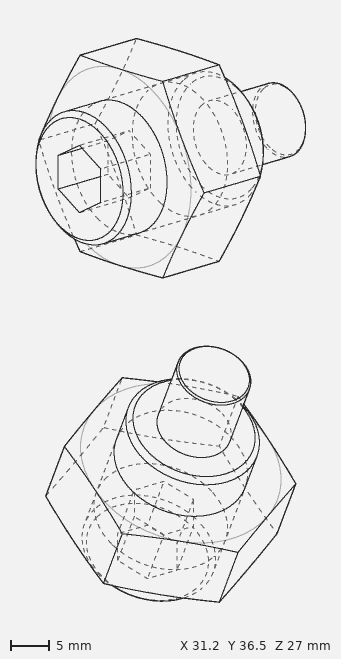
import cadquery as cq
import math

total_length = 36.5
pin_length = 11.02
nut_height = 11.0
body_length = total_length - pin_length
nut_start = (body_length - nut_height) / 2

body_diameter = 18.0
body_chamfer = 0.75
pin_diameter = 10.0
pin_chamfer = 0.25
socket_flats = 8.0
socket_depth = 9.0

nut_flats = 27.0
nut_chamfer_height = 0.35


def corner_diameter(across_flats):
    """Across-corners size of a regular hexagon."""
    return across_flats / math.cos(math.pi / 6)


def plane_at(y):
    """Plane square to the screw axis, facing +Y, with its local x along Z."""
    return cq.Workplane(cq.Plane(origin=(0, y, 0), xDir=(0, 0, 1), normal=(0, 1, 0)))


def make_screw():
    """Chamfered cylinder with a plain pin at the far end and a hex socket at the near end."""
    body = plane_at(0).circle(body_diameter / 2).extrude(body_length)
    body = body.edges("%CIRCLE").chamfer(body_chamfer)
    pin = plane_at(body_length).circle(pin_diameter / 2).extrude(pin_length)
    pin = pin.faces(">Y").chamfer(pin_chamfer)
    socket = plane_at(0).polygon(6, corner_diameter(socket_flats)).extrude(socket_depth)
    return body.union(pin).cut(socket)


def make_nut():
    """Hexagon with corners on X, both ends turned to a cone, bored to fit the screw."""
    nut_corners = corner_diameter(nut_flats)
    hexagon = plane_at(nut_start).transformed(rotate=(0, 0, 90)).polygon(6, nut_corners).extrude(nut_height)
    chamfer_width = (nut_corners - nut_flats) / 2
    turned_blank = plane_at(nut_start).circle(nut_corners / 2).extrude(nut_height)
    turned_blank = turned_blank.edges("%CIRCLE").chamfer(nut_chamfer_height, chamfer_width)
    bore = plane_at(nut_start).circle(body_diameter / 2).extrude(nut_height)
    return hexagon.intersect(turned_blank).cut(bore)


screw = make_screw()
nut = make_nut()
result = cq.Compound.makeCompound([screw.val(), nut.val()])